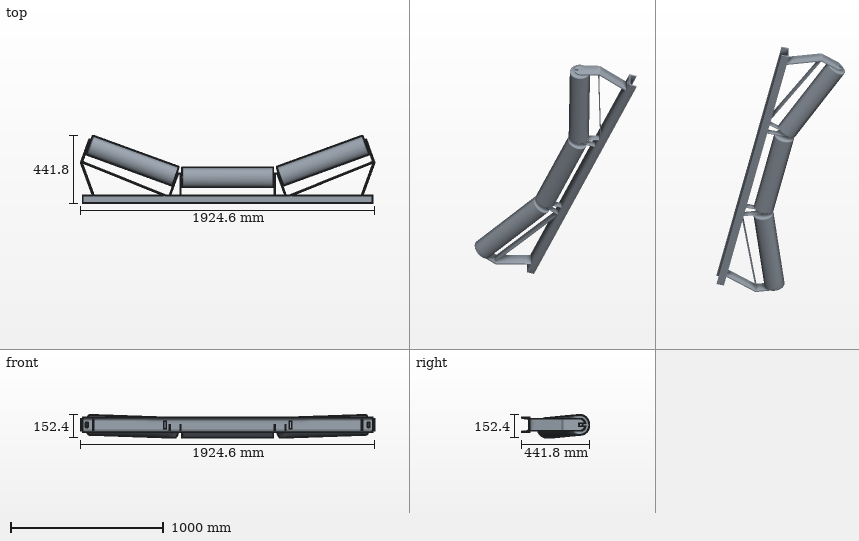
import cadquery as cq
import math

overall_width = 1924.61
trough_angle = 20.0
wing_drop = 19.57

beam_length = 1900.0
beam_height = 100.0
beam_depth = 50.0
web_thickness = 6.0
flange_tip = 7.5
flange_root = 10.3
root_radius = 8.5
toe_radius = 4.0
mount_slot_length = 36.0
mount_slot_width = 18.0
mount_slot_x = 923.0

roller_length = 600.0
roller_radius = 66.5
roller_edge_radius = 5.0
shaft_radius = 12.5
shaft_flats = 18.0
end_gap = 6.0
wing_top_y = 391.78
center_roller_y = 118.5

outer_height = 80.0
inner_height = 40.0
outer_thickness = 8.0
inner_thickness = 5.0
bend_radius = 12.0
inner_bend_radius = 8.0
bend_y = 214.5
leg_end_margin = 34.0
leg_corner_radius = 38.0
inner_top_y = 146.0
strut_height = 50.0
strut_thickness = 6.0
strut_head_y = 219.0
strut_foot_x = 412.0
pick_margin = 1.0
slot_overrun = 2.0

sin_t = math.sin(math.radians(trough_angle))
cos_t = math.cos(math.radians(trough_angle))
tan_t = sin_t / cos_t
half_width = overall_width / 2

axis_run = math.sqrt(roller_length**2 - wing_drop**2)
wing_axis = cq.Vector(-cos_t * axis_run, sin_t * axis_run, wing_drop).normalized()
plate_x, plate_y = sin_t, cos_t

apex_x = -half_width - bend_radius * (1 / cos_t - 1)

edge_loss = roller_edge_radius * (cos_t + sin_t - 1)
wing_outer_y = wing_top_y - roller_radius * cos_t + edge_loss
outer_offset = outer_thickness + end_gap
wing_outer_x = apex_x + (wing_outer_y - bend_y) * tan_t + outer_offset / cos_t
wing_outer = cq.Vector(wing_outer_x, wing_outer_y, 0)
wing_inner = wing_outer - wing_axis * roller_length
center_start = cq.Vector(-roller_length / 2, center_roller_y, -wing_drop)


def axis_plane(origin, axis):
    """Plane along a roller axis whose local Y stays as close to global Z as it can."""
    return cq.Plane(origin=origin, xDir=cq.Vector(0, 0, 1).cross(axis), normal=axis)


def make_roller(start, axis, start_reach, end_reach):
    """Plain roller with a flatted shaft stub beyond each end, as one body."""
    plane = axis_plane(start, axis)
    stubs_length = start_reach + roller_length + end_reach
    shaft = (
        cq.Workplane(plane)
        .workplane(offset=-start_reach)
        .circle(shaft_radius)
        .extrude(stubs_length)
    )
    flats = (
        cq.Workplane(plane)
        .workplane(offset=-start_reach)
        .rect(2 * shaft_radius, shaft_flats)
        .extrude(stubs_length)
    )
    shell = cq.Workplane(plane).circle(roller_radius).extrude(roller_length)
    shell = shell.edges().fillet(roller_edge_radius)
    return shaft.intersect(flats).union(shell)


def shaft_slot(end, axis, depth, direction):
    """Cutter for an open-topped shaft slot, `depth` long from a roller end; direction is 1 or -1."""
    mouth = 2 * leg_end_margin
    plane = axis_plane(end, axis)
    up = 1 if plane.xDir.y > 0 else -1
    return (
        cq.Workplane(plane)
        .center(up * (mouth - shaft_radius) / 2, 0)
        .rect(mouth + shaft_radius, shaft_flats)
        .extrude(direction * depth)
    )


def make_beam():
    """Channel with its web at the back, open toward -Y, and a mounting slot near each end."""
    half = beam_height / 2
    beam = (
        cq.Workplane("YZ")
        .polyline([
            (0, -half),
            (0, half),
            (-beam_depth, half),
            (-beam_depth, half - flange_tip),
            (-web_thickness, half - flange_root),
            (-web_thickness, flange_root - half),
            (-beam_depth, flange_tip - half),
            (-beam_depth, -half),
        ])
        .close()
        .extrude(beam_length / 2, both=True)
    )
    for y, radius in ((-web_thickness, root_radius), (-beam_depth, toe_radius)):
        flange_inside = cq.selectors.BoxSelector(
            (-beam_length, y - pick_margin, pick_margin - half),
            (beam_length, y + pick_margin, half - pick_margin),
        )
        beam = beam.edges("|X").edges(flange_inside).fillet(radius)
    slots = (
        cq.Workplane("XZ")
        .pushPoints([(-mount_slot_x, 0), (mount_slot_x, 0)])
        .slot2D(mount_slot_length, mount_slot_width, 90)
        .extrude(web_thickness)
    )
    return beam.cut(slots)


def make_outer_bracket():
    """Flat bar bent once; the upper leg holds the outer end of a wing roller."""
    wall_x = outer_thickness / cos_t
    axis_reach = (wing_outer_y + outer_offset * sin_t - bend_y) / cos_t
    leg_length = axis_reach + leg_end_margin
    tip = (apex_x + leg_length * plate_x, bend_y + leg_length * plate_y)
    tip_inner = (tip[0] + outer_thickness * cos_t, tip[1] - outer_thickness * sin_t)
    foot_x = apex_x + bend_y * tan_t
    bar = (
        cq.Workplane("XY")
        .polyline([
            (foot_x, 0),
            (apex_x, bend_y),
            tip,
            tip_inner,
            (apex_x + wall_x, bend_y),
            (foot_x + wall_x, 0),
        ])
        .close()
        .extrude(outer_height / 2, both=True)
    )
    outer_bend = cq.selectors.NearestToPointSelector((apex_x, bend_y, 0))
    bar = bar.edges("|Z").edges(outer_bend).fillet(bend_radius)
    inner_bend = cq.selectors.NearestToPointSelector((apex_x + wall_x, bend_y, 0))
    bar = bar.edges("|Z").edges(inner_bend).fillet(bend_radius - outer_thickness)
    bar = bar.faces(">Y").edges("not |Z").edges("<Z or >Z").fillet(leg_corner_radius)
    return bar.cut(shaft_slot(wing_outer, wing_axis, outer_offset + slot_overrun, 1))


def make_inner_bracket():
    """Flat bar bent over twice: a leg for the wing roller and a leg for the center roller."""
    wing_face_x = wing_inner.x + end_gap / cos_t - wing_inner.y * tan_t
    wall_x = inner_thickness / cos_t
    center_face_x = center_start.x - end_gap
    under_y = inner_top_y - inner_thickness
    top_x = wing_face_x + inner_top_y * tan_t
    under_x = wing_face_x + wall_x + under_y * tan_t
    bar = (
        cq.Workplane("XY")
        .polyline([
            (wing_face_x, 0),
            (top_x, inner_top_y),
            (center_face_x, inner_top_y),
            (center_face_x, 0),
            (center_face_x - inner_thickness, 0),
            (center_face_x - inner_thickness, under_y),
            (under_x, under_y),
            (wing_face_x + wall_x, 0),
        ])
        .close()
        .extrude(inner_height / 2, both=True)
        .translate((0, 0, -wing_drop))
    )
    for x in (top_x, center_face_x):
        bend = cq.selectors.NearestToPointSelector((x, inner_top_y, -wing_drop))
        bar = bar.edges("|Z").edges(bend).fillet(inner_bend_radius)
    for x in (under_x, center_face_x - inner_thickness):
        bend = cq.selectors.NearestToPointSelector((x, under_y, -wing_drop))
        bar = bar.edges("|Z").edges(bend).fillet(inner_bend_radius - inner_thickness)
    depth = end_gap + inner_thickness + slot_overrun
    bar = bar.cut(shaft_slot(wing_inner, wing_axis, depth, -1))
    return bar.cut(shaft_slot(center_start, cq.Vector(1, 0, 0), depth, -1))


def make_strut():
    """Flat brace from the inside of the outer bend down to the beam."""
    head_x = apex_x + outer_thickness / cos_t
    root_x = (apex_x + head_x) / 2
    angle = math.atan2(strut_head_y, -strut_foot_x - head_x)
    rise = strut_thickness / math.cos(angle)
    run = strut_thickness / math.sin(angle)
    strut = (
        cq.Workplane("XY")
        .polyline([
            (root_x, strut_head_y + rise / 2 + (head_x - root_x) * math.tan(angle)),
            (-strut_foot_x + run / 2, 0),
            (-strut_foot_x - run / 2, 0),
            (root_x, strut_head_y - rise / 2 + (head_x - root_x) * math.tan(angle)),
        ])
        .close()
        .extrude(strut_height / 2, both=True)
    )
    return strut.cut(outer_bracket)


beam = make_beam()
inner_reach = end_gap + inner_thickness
center_roller = make_roller(center_start, cq.Vector(1, 0, 0), inner_reach, inner_reach)
wing_roller = make_roller(wing_inner, wing_axis, inner_reach, outer_offset)
outer_bracket = make_outer_bracket()
inner_bracket = make_inner_bracket()
strut = make_strut()

bodies = [*beam.solids().vals(), *center_roller.solids().vals()]
for left_body in (wing_roller, outer_bracket, inner_bracket, strut):
    bodies.append(left_body.solids().val())
    bodies.append(left_body.mirror("YZ").solids().val())

result = cq.Compound.makeCompound(bodies)